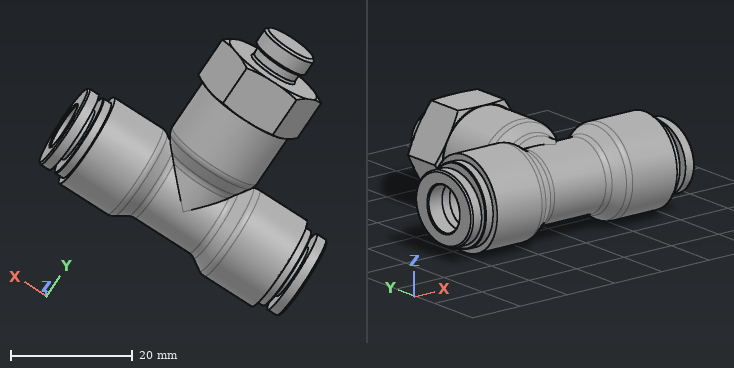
import cadquery as cq
import math

arm_length = 19.0
arm_radius = 16.9 / 2
waist_radius = 13.1 / 2
waist_half_length = 6.0
shoulder_end = 9.0
shoulder_blend_radius = 2.0

tube_bore_radius = 8.2 / 2
port_bottom = shoulder_end

collar_radius = 14.7 / 2
collar_thickness = 1.6
collar_chamfer = 0.15

overall_half_length = 47.2 / 2
sleeve_neck_radius = 9.6 / 2
flange_width = 15.0
flange_height = 13.0
flange_thickness = 2.05
flange_chamfer = 0.3
mouth_chamfer = 0.2
sleeve_length = overall_half_length - arm_length - collar_thickness

overall_depth = 40.75
hex_across_flats = 17.0
hex_length = 8.0
hex_chamfer_radius = 8.6
hex_chamfer_angle = math.radians(20)
stud_length = overall_depth - arm_radius - arm_length
root_radius = 8.2 / 2
root_collar_radius = 8.55 / 2
root_collar_length = 0.5
relief_length = 2.0
thread_radius = 9.73 / 2
thread_tip_chamfer = 0.45
thread_root_chamfer = 0.35


def make_arm():
    """Solid arm along +Z from the run centre, with a blended cone between waist and full size."""
    cone_angle = math.atan2(arm_radius - waist_radius, shoulder_end - waist_half_length)
    tangent = shoulder_blend_radius * math.tan(cone_angle / 2)
    mid = shoulder_blend_radius * (1 - math.cos(cone_angle / 2))
    along = tangent * math.cos(cone_angle)
    across = tangent * math.sin(cone_angle)
    half_chord = shoulder_blend_radius * math.sin(cone_angle / 2)
    inner_start = waist_half_length - tangent
    outer_end = shoulder_end + tangent
    return (
        cq.Workplane("XZ")
        .lineTo(waist_radius, 0)
        .lineTo(waist_radius, inner_start)
        .threePointArc(
            (waist_radius + mid, inner_start + half_chord),
            (waist_radius + across, waist_half_length + along),
        )
        .lineTo(arm_radius - across, shoulder_end - along)
        .threePointArc((arm_radius - mid, outer_end - half_chord), (arm_radius, outer_end))
        .lineTo(arm_radius, arm_length)
        .lineTo(0, arm_length)
        .close()
        .revolve(360, (0, 0), (0, 1))
    )


def toward_x(part, side):
    """Turn a part built along +Z to point along +X (side 1) or -X (side -1)."""
    return part.rotate((0, 0, 0), (0, 1, 0), side * 90)


def toward_y(part):
    """Turn a part built along +Z to point along +Y."""
    return part.rotate((0, 0, 0), (1, 0, 0), -90)


def make_housing():
    arm = make_arm()
    port = cq.Workplane().workplane(offset=port_bottom).circle(tube_bore_radius)
    port = port.extrude(arm_length - port_bottom)
    housing = toward_y(arm)
    for side in (-1, 1):
        housing = housing.union(toward_x(arm, side))
    for side in (-1, 1):
        housing = housing.cut(toward_x(port, side))
    return housing


def make_collar():
    return (
        cq.Workplane()
        .workplane(offset=arm_length)
        .circle(collar_radius)
        .extrude(collar_thickness)
        .faces(">Z")
        .chamfer(collar_chamfer)
        .faces(">Z")
        .workplane()
        .circle(tube_bore_radius)
        .cutThruAll()
    )


def make_sleeve():
    neck_base = arm_length + collar_thickness
    neck = cq.Workplane().workplane(offset=neck_base).circle(sleeve_neck_radius).extrude(sleeve_length)
    flange = (
        cq.Workplane()
        .workplane(offset=overall_half_length - flange_thickness)
        .ellipse(flange_height / 2, flange_width / 2)
        .extrude(flange_thickness)
        .faces(">Z")
        .chamfer(flange_chamfer)
    )
    bore = cq.Workplane().workplane(offset=neck_base).circle(tube_bore_radius).extrude(sleeve_length)
    sleeve = neck.union(flange).cut(bore)
    return sleeve.faces(">Z").edges("%CIRCLE").chamfer(mouth_chamfer)


def make_hex():
    """Hexagon with both ends turned to a conical corner chamfer, standing on the arm face."""
    corner_radius = hex_across_flats / 2 / math.cos(math.pi / 6)
    turning_radius = hex_across_flats
    turning_drop = (turning_radius - hex_chamfer_radius) * math.tan(hex_chamfer_angle)
    hexagon = cq.Workplane().polygon(6, 2 * corner_radius).extrude(hex_length)
    turned = (
        cq.Workplane("XZ")
        .lineTo(hex_chamfer_radius, 0)
        .lineTo(turning_radius, turning_drop)
        .lineTo(turning_radius, hex_length - turning_drop)
        .lineTo(hex_chamfer_radius, hex_length)
        .lineTo(0, hex_length)
        .close()
        .revolve(360, (0, 0), (0, 1))
    )
    return hexagon.intersect(turned).translate((0, 0, arm_length))


def make_stud():
    hex_face = arm_length + hex_length
    thread_start = hex_face + relief_length
    tip = arm_length + stud_length
    spigot = (
        cq.Workplane("XZ")
        .moveTo(0, hex_face)
        .lineTo(root_collar_radius, hex_face)
        .lineTo(root_radius, hex_face + root_collar_length)
        .lineTo(root_radius, thread_start)
        .lineTo(thread_radius - thread_root_chamfer, thread_start)
        .lineTo(thread_radius, thread_start + thread_root_chamfer)
        .lineTo(thread_radius, tip - thread_tip_chamfer)
        .lineTo(thread_radius - thread_tip_chamfer, tip)
        .lineTo(0, tip)
        .close()
        .revolve(360, (0, 0), (0, 1))
    )
    return toward_y(make_hex().union(spigot))


housing = make_housing()
stud = make_stud()
collars = [toward_x(make_collar(), side) for side in (-1, 1)]
sleeves = [toward_x(make_sleeve(), side) for side in (-1, 1)]

result = cq.Compound.makeCompound(
    [
        housing.val(),
        stud.val(),
        *[collar.val() for collar in collars],
        *[sleeve.val() for sleeve in sleeves],
    ]
)